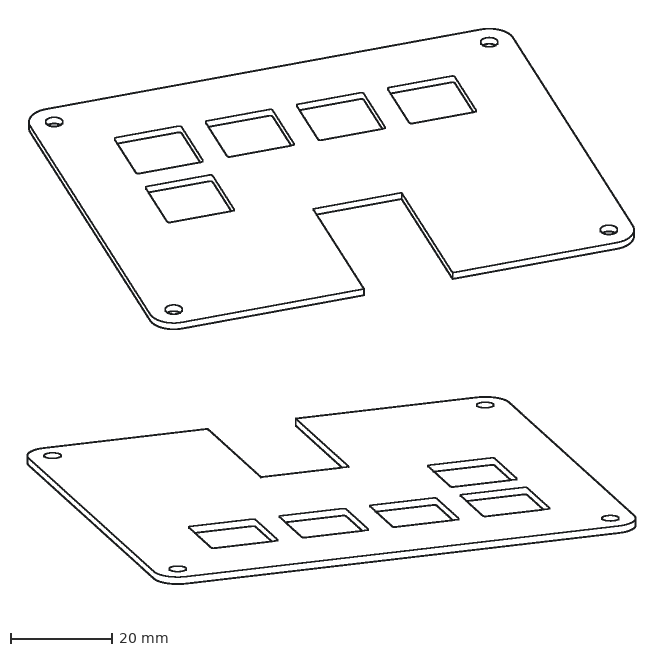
import cadquery as cq

plate_width = 83.19
plate_length = 101.0
plate_thickness = 1.5
corner_radius = 5.0

hole_diameter = 3.4
hole_inset = corner_radius

key_size = 14.0
key_pitch = 19.05
key_corner_radius = 0.5
first_key_from_left = 21.45
first_key_from_bottom = 21.25
keys_in_column = 4

notch_depth = 31.2
notch_height = 18.5
notch_from_top = 39.4

left_edge = -plate_width / 2
right_edge = plate_width / 2
bottom_edge = -plate_length / 2
top_edge = plate_length / 2


def make_plate():
    """Flat rectangular plate with rounded corners."""
    plate = cq.Workplane("XY").rect(plate_width, plate_length).extrude(plate_thickness)
    return plate.edges("|Z").fillet(corner_radius)


def make_mounting_holes():
    """Four through-hole cutters, one at each corner."""
    hole_span_x = plate_width - 2 * hole_inset
    hole_span_y = plate_length - 2 * hole_inset
    corners = cq.Workplane("XY").rect(hole_span_x, hole_span_y, forConstruction=True).vertices()
    return corners.circle(hole_diameter / 2).extrude(plate_thickness)


def make_key_openings():
    """Cutters for an L of keys: one column, plus a second key in the bottom row."""
    first_x = left_edge + first_key_from_left
    first_y = bottom_edge + first_key_from_bottom
    centers = [(first_x, first_y + row * key_pitch) for row in range(keys_in_column)]
    centers.append((first_x + key_pitch, first_y))
    openings = cq.Workplane("XY").pushPoints(centers).rect(key_size, key_size).extrude(plate_thickness)
    return openings.edges("|Z").fillet(key_corner_radius)


def make_notch():
    """Cutter for the notch that runs in from the right edge."""
    notch_top = top_edge - notch_from_top
    notch = cq.Workplane("XY").box(notch_depth, notch_height, plate_thickness, centered=False)
    return notch.translate((right_edge - notch_depth, notch_top - notch_height, 0))


result = make_plate().cut(make_mounting_holes()).cut(make_key_openings()).cut(make_notch())